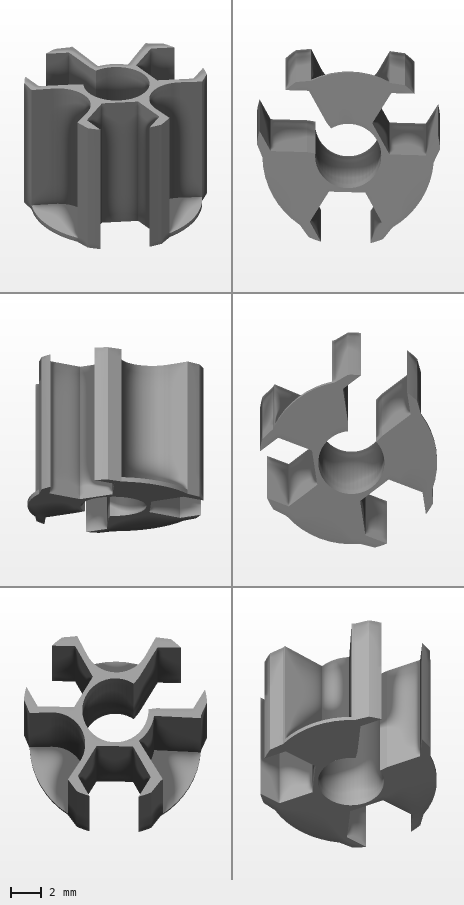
import cadquery as cq
import math

HEIGHT = 9.0
FLOOR_THICKNESS = 0.3
ARM_TIP_RADIUS = 6.0
FLOOR_RADIUS = 5.58
BORE_RADIUS = 2.15
BORE_WALL = 0.4

THICK_WALL_POCKET_ANGLE = 120
ROUND_POCKET_ANGLES = (0, 240)
POCKET_ANGLES = (*ROUND_POCKET_ANGLES, THICK_WALL_POCKET_ANGLE)
CLOSED_SLOT_ANGLES = (60, 300)
OPEN_SLOT_ANGLE = 180

MOUTH_HALF_ANGLE = 27.3
ARM_CORNER_ANGLE = 36.2
WALL_HALF_ANGLE = 28.0
EXTRA_WALL = 0.18

HEX_ACROSS_FLATS = 4.1
HEX_INNER_FLAT = 2.415
HEX_CENTER = HEX_INNER_FLAT + HEX_ACROSS_FLATS / 2
HEX_CORNER_RADIUS = HEX_ACROSS_FLATS / math.sqrt(3)

THROAT_HALF_WIDTH = 0.98

POCKET_BOTTOM_RADIUS = BORE_RADIUS + BORE_WALL
CUT_REACH = 2 * ARM_TIP_RADIUS


def polar(radius, degrees):
    angle = math.radians(degrees)
    return (radius * math.cos(angle), radius * math.sin(angle))


def turned(shape, degrees):
    return shape.rotate((0, 0, 0), (0, 0, 1), degrees)


def wall_apex(extra_wall):
    """X position where the two sloping walls of a pocket on the X axis would meet."""
    mouth_x, mouth_y = polar(FLOOR_RADIUS, MOUTH_HALF_ANGLE)
    slope = math.radians(WALL_HALF_ANGLE)
    return mouth_x - mouth_y / math.tan(slope) + extra_wall / math.sin(slope)


def blank():
    """Solid outline: a floor-radius arc at each pocket and a tip-radius arc at each slot."""
    outline = cq.Workplane("XY").moveTo(*polar(FLOOR_RADIUS, -MOUTH_HALF_ANGLE))
    pitch = 360 / len(POCKET_ANGLES)
    for axis in sorted(POCKET_ANGLES):
        next_axis = axis + pitch
        outline = (
            outline
            .threePointArc(polar(FLOOR_RADIUS, axis), polar(FLOOR_RADIUS, axis + MOUTH_HALF_ANGLE))
            .lineTo(*polar(ARM_TIP_RADIUS, axis + ARM_CORNER_ANGLE))
            .threePointArc(
                polar(ARM_TIP_RADIUS, axis + pitch / 2),
                polar(ARM_TIP_RADIUS, next_axis - ARM_CORNER_ANGLE),
            )
            .lineTo(*polar(FLOOR_RADIUS, next_axis - MOUTH_HALF_ANGLE))
        )
    return outline.close().extrude(HEIGHT)


def bore():
    return cq.Workplane("XY").circle(BORE_RADIUS).extrude(HEIGHT)


def hex_slot():
    """Hexagonal prism on the +X side with one flat facing the bore."""
    sides = 6
    step = 360 / sides
    corners = []
    for index in range(sides):
        x, y = polar(HEX_CORNER_RADIUS, step * (index + 0.5))
        corners.append((HEX_CENTER + x, y))
    return cq.Workplane("XY").polyline(corners).close().extrude(HEIGHT)


def slot_throat():
    """Tapers from the full inner flat of the hexagon to a narrower opening in the bore wall."""
    half_flat = HEX_CORNER_RADIUS / 2
    bore_edge_x = math.sqrt(BORE_RADIUS**2 - THROAT_HALF_WIDTH**2)
    corners = [
        (HEX_INNER_FLAT, half_flat),
        (bore_edge_x, THROAT_HALF_WIDTH),
        (bore_edge_x, -THROAT_HALF_WIDTH),
        (HEX_INNER_FLAT, -half_flat),
    ]
    return cq.Workplane("XY").polyline(corners).close().extrude(HEIGHT)


def round_pocket():
    """Pocket whose round bottom is tangent to both walls."""
    slope = math.radians(WALL_HALF_ANGLE)
    apex_x = wall_apex(0)
    radius = (POCKET_BOTTOM_RADIUS - apex_x) * math.sin(slope) / (1 - math.sin(slope))
    center_x = POCKET_BOTTOM_RADIUS + radius
    tangent_x = center_x - radius * math.sin(slope)
    tangent_y = radius * math.cos(slope)
    end_x = apex_x + CUT_REACH
    end_y = CUT_REACH * math.tan(slope)
    return (
        cq.Workplane("XY").workplane(offset=FLOOR_THICKNESS)
        .moveTo(end_x, -end_y)
        .lineTo(tangent_x, -tangent_y)
        .threePointArc((POCKET_BOTTOM_RADIUS, 0), (tangent_x, tangent_y))
        .lineTo(end_x, end_y)
        .close()
        .extrude(HEIGHT)
    )


def thick_wall_pocket():
    """Pocket with straight walls and a bottom concentric with the bore."""
    apex_x = wall_apex(EXTRA_WALL)
    half_width = CUT_REACH * math.tan(math.radians(WALL_HALF_ANGLE))
    corners = [
        (apex_x, 0),
        (apex_x + CUT_REACH, half_width),
        (apex_x + CUT_REACH, -half_width),
    ]
    plane = cq.Workplane("XY").workplane(offset=FLOOR_THICKNESS)
    sleeve = plane.circle(POCKET_BOTTOM_RADIUS).extrude(HEIGHT)
    return plane.polyline(corners).close().extrude(HEIGHT).cut(sleeve)


result = blank().cut(bore())
for slot_angle in CLOSED_SLOT_ANGLES:
    result = result.cut(turned(hex_slot(), slot_angle))
result = result.cut(turned(hex_slot().union(slot_throat()), OPEN_SLOT_ANGLE))
for pocket_angle in ROUND_POCKET_ANGLES:
    result = result.cut(turned(round_pocket(), pocket_angle))
result = result.cut(turned(thick_wall_pocket(), THICK_WALL_POCKET_ANGLE))